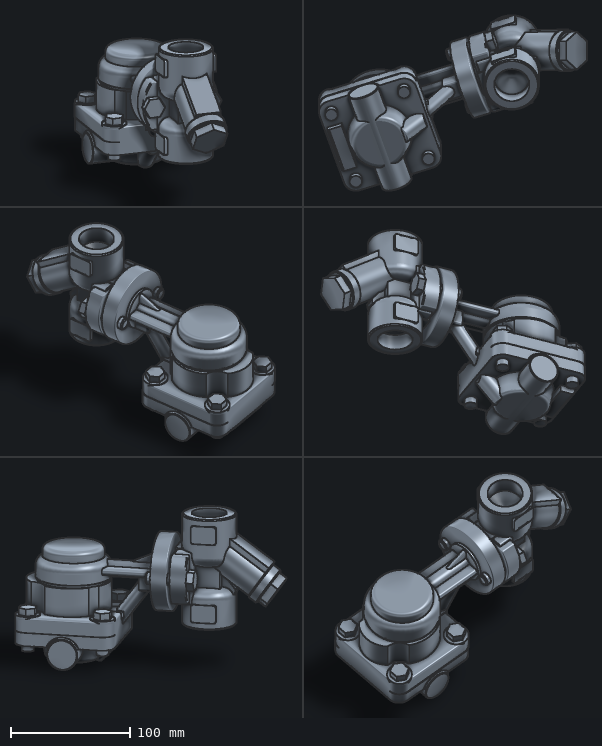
import cadquery as cq
import math


overall_length = 226.1
weld_overlap = 2.3

flange_side = 85.5
flange_height = 25.3
parting_height = 11.5
edge_round = 2.3
bolt_offset = 32.0
bolt_spots = [(x, y) for x in (-bolt_offset, bolt_offset) for y in (-bolt_offset, bolt_offset)]
corner_pad_dia = 21.0
corner_radius = flange_side / 2 - bolt_offset
flange_top = flange_height - 0.5
lower_offset_y = 0.5

cover_bolt_corners = 16.0
cover_bolt_head_height = 6.0
cover_bolt_dia = 10.5
cover_bolt_drop = 6.0

body_radius = 33.5
body_offset_x = -1.4
body_top = 49.5
lobe_radius = 25.0
lobe_tip_x = -40.0
bolt_clearance_dia = 28.5

dome_radius = 32.0
dome_root_radius = 31.0
dome_root_z = body_top + 2.3
dome_shoulder_z = 61.3
dome_bulge_radius = 30.0
dome_bulge_z = 67.0
cap_radius = 26.2
cap_base_z = 69.6
cap_top_z = 79.1
cap_round = 4.3

pan_top_radius = 27.1
pan_bottom_radius = 23.5
pan_bottom_z = -18.3
pan_round = 4.5
port_dia = 26.2
port_length = 89.0
port_z = -5.5
port_chamfer = 0.57
port_collar_dia = 29.8
port_collar_reach = 1.5
port_collar_chamfer = 1.4
block_tip_x = lobe_tip_x
block_inner_x = -27.1
block_width = 39.8
block_drop = 6.0
block_chamfer = 1.8

drain_dia = 16.0
drain_angle = 46.0
drain_end_x = 17.9
drain_end_z = -15.2
drain_length = 27.1
drain_round = 1.1

axis_z = 60.8
disc_face_x = 73.0
arm_dia = 14.5
rail_width = 32.0
rail_thickness = 6.0
rail_round = 2.7
hub_dia = 35.0
hub_face_x = 70.5
gusset_width = 4.0
gusset_round = 1.5
gusset_start_x = 51.0
gusset_top_z = axis_z + 16.7
elbow_start_x = 57.2
elbow_bottom_z = 43.9
elbow_width = 16.0
elbow_round = 2.3
return_dia = 12.0
return_angle = 53.4
return_start_x = 62.2
return_start_z = 49.0
return_length = 45.2
return_pad_x = 44.5
return_pad_bottom_z = 19.2
return_pad_round = 1.4

disc_dia = 67.0
disc_thickness = 14.0
disc_round = 1.0
joint_end_x = 89.8
valve_flange_thickness = 14.2
valve_flange_height = 42.0
valve_flange_round = 2.7
joint_bolt_offset = 25.3
joint_bolt_dia = 10.5
joint_bolt_flats = 16.0
joint_bolt_head_height = 6.3
joint_bolt_tip_x = 68.3
joint_bolt_chamfer = 1.1

valve_x = 116.7
barrel_dia = 46.0
barrel_top_z = 113.7
barrel_bottom_z = 17.6
barrel_gap = 19.0
barrel_shoulder = 9.5
barrel_chamfer = 1.1
bore_dia = 29.5
bore_depth = 14.5
bore_tip_angle = 118.0
waist_end_x = 128.5
waist_depth = 22.5
neck_height = 46.0
neck_width = 41.5
neck_start_x = joint_end_x + 2.3
neck_end_x = 107.5
neck_round = 2.0
pad_width = 21.3
pad_height = 15.5
pad_inset = 6.0
pad_face_y = 23.3
pad_round = 2.0
pad_thickness = 4.5

branch_angle = 35.2
branch_face_z = 48.0
branch_dia = 32.3
branch_length = 62.2
branch_cap_corners = 31.9
branch_tip_x = overall_length - flange_side / 2
branch_face_x = branch_tip_x - branch_cap_corners / 2 * math.sin(math.radians(branch_angle))
branch_cap_height = 7.7
collar_dia = 34.4
collar_length = 9.0
collar_chamfer = 1.0
rib_width = 22.2
rib_height = 17.2
rib_length = 54.3
web_width = 10.0
web_reach = 0.7
web_corner_drop = 11.3
web_foot_drop = 15.8


def cylinder_x(dia, x_start, x_end, y=0.0):
    """Cylinder along X at the height of the flange axis."""
    plane = cq.Workplane("YZ", origin=(x_start, y, axis_z))
    return plane.circle(dia / 2).extrude(x_end - x_start)


def block(x_range, width, z_range, y=0.0):
    """Rectangular block centred on y across its width."""
    length = x_range[1] - x_range[0]
    height = z_range[1] - z_range[0]
    base = cq.Workplane("XY", origin=((x_range[0] + x_range[1]) / 2, y, z_range[0]))
    return base.rect(length, width).extrude(height)


def inclined_plane(x, z, slope):
    """Work plane centred in the XZ mid-plane; its normal points to -X and climbs at the given slope."""
    rad = math.radians(slope)
    normal = (-math.cos(rad), 0, math.sin(rad))
    return cq.Workplane(cq.Plane(origin=(x, 0, z), xDir=(0, 1, 0), normal=normal))


def square_flange():
    lower = block((-flange_side / 2, flange_side / 2), flange_side, (0, parting_height), lower_offset_y)
    lower = lower.edges("|Z").fillet(corner_radius)
    upper = block((-flange_side / 2, flange_side / 2), flange_side, (parting_height, flange_top))
    upper = upper.edges("|Z").fillet(corner_radius).faces(">Z").edges().fillet(edge_round)
    return lower.union(upper)


def cover_bolts():
    pads = cq.Workplane("XY", origin=(0, 0, parting_height)).pushPoints(bolt_spots)
    pads = pads.circle(corner_pad_dia / 2).extrude(flange_height - parting_height)
    head = cq.Workplane("XY").polygon(6, cover_bolt_corners).extrude(cover_bolt_head_height)
    head = head.rotate((0, 0, 0), (0, 0, 1), 30)
    shank_length = cover_bolt_drop + flange_height
    shank = cq.Workplane("XY").circle(cover_bolt_dia / 2).extrude(-shank_length)
    bolt = head.union(shank)
    for x, y in bolt_spots:
        pads = pads.union(bolt.translate((x, y, flange_height)))
    return pads


def trap_body():
    body = cq.Workplane("XY").center(body_offset_x, 0).circle(body_radius).extrude(body_top)
    lobe = cq.Workplane("XY").center(lobe_tip_x + lobe_radius, 0).circle(lobe_radius).extrude(body_top)
    grooves = cq.Workplane("XY", origin=(0, 0, flange_top)).pushPoints(bolt_spots)
    grooves = grooves.circle(bolt_clearance_dia / 2).extrude(body_top - flange_top)
    body = body.union(lobe).cut(grooves)
    dome = (
        cq.Workplane("XZ")
        .lineTo(dome_root_radius, 0)
        .lineTo(dome_root_radius, dome_root_z)
        .lineTo(dome_radius, dome_root_z)
        .lineTo(dome_radius, dome_shoulder_z)
        .threePointArc((dome_bulge_radius, dome_bulge_z), (cap_radius, cap_base_z))
        .lineTo(cap_radius, cap_top_z)
        .lineTo(0, cap_top_z)
        .close()
        .revolve(360, (0, 0), (0, 1))
    )
    return body.union(dome.faces(">Z").edges().fillet(cap_round))


def lower_body():
    pan = (
        cq.Workplane("XZ")
        .moveTo(0, parting_height / 2)
        .lineTo(pan_top_radius, parting_height / 2)
        .lineTo(pan_top_radius, 0)
        .lineTo(pan_bottom_radius, pan_bottom_z)
        .lineTo(0, pan_bottom_z)
        .close()
        .revolve(360, (0, 0), (0, 1))
    )
    pan = pan.faces("<Z").edges().fillet(pan_round)
    ports = cq.Workplane("XZ", origin=(0, port_length / 2 + lower_offset_y, port_z))
    ports = ports.circle(port_dia / 2).extrude(port_length).faces("<Y or >Y").chamfer(port_chamfer)
    collar_length_y = flange_side + 2 * port_collar_reach
    collars = cq.Workplane("XZ", origin=(0, collar_length_y / 2 + lower_offset_y, port_z))
    collars = collars.circle(port_collar_dia / 2).extrude(collar_length_y)
    collars = collars.faces("<Y or >Y").chamfer(port_collar_chamfer)
    flange_band = block((-port_collar_dia, port_collar_dia), 2 * flange_side, (0, parting_height))
    collars = collars.intersect(flange_band)
    end_block = block((block_tip_x, block_inner_x), block_width, (-block_drop, parting_height / 2))
    end_block = end_block.faces("<X").edges("<Z").chamfer(block_chamfer)
    rad = math.radians(drain_angle)
    top = (drain_end_x + drain_length * math.cos(rad), drain_end_z + drain_length * math.sin(rad))
    drain = inclined_plane(top[0], top[1], -drain_angle).circle(drain_dia / 2).extrude(drain_length)
    drain = drain.edges("<Z").fillet(drain_round)
    room = block((block_tip_x, -block_tip_x), flange_side, (2 * pan_bottom_z, parting_height))
    return pan.union(ports).union(collars).union(end_block).union(drain.intersect(room))


def arm():
    pipe = cylinder_x(arm_dia, 0, disc_face_x)
    rails = block((0, disc_face_x), rail_width, (axis_z - rail_thickness / 2, axis_z + rail_thickness / 2))
    rails = rails.edges("|X").fillet(rail_round)
    hub = cylinder_x(hub_dia, hub_face_x, disc_face_x + weld_overlap)
    gusset = (
        cq.Workplane("XZ", origin=(0, gusset_width / 2, 0))
        .moveTo(gusset_start_x, axis_z + arm_dia / 2)
        .lineTo(disc_face_x, gusset_top_z)
        .lineTo(disc_face_x, axis_z)
        .lineTo(gusset_start_x, axis_z)
        .close()
        .extrude(gusset_width)
    )
    gusset = gusset.edges("(not |X) and (not |Y) and (not |Z)").fillet(gusset_round)
    elbow = block((elbow_start_x, disc_face_x), elbow_width, (elbow_bottom_z, axis_z))
    elbow = elbow.edges("<X or <Z").fillet(elbow_round)
    return_pipe = inclined_plane(return_start_x, return_start_z, -return_angle)
    return_pipe = return_pipe.circle(return_dia / 2).extrude(return_length)
    return_pad = block((0, return_pad_x), elbow_width, (return_pad_bottom_z, flange_height))
    return_pad = return_pad.faces(">X").edges().fillet(return_pad_round)
    return_pipe = return_pipe.union(return_pad)
    return pipe.union(rails).union(hub).union(gusset).union(elbow).union(return_pipe)


def flange_pair():
    disc_end_x = disc_face_x + disc_thickness
    disc = cylinder_x(disc_dia, disc_face_x, disc_end_x).edges().fillet(disc_round)
    joint = cylinder_x(hub_dia, disc_end_x - weld_overlap, joint_end_x + weld_overlap)
    valve_flange_end_x = joint_end_x + valve_flange_thickness
    valve_flange = cylinder_x(disc_dia, joint_end_x, valve_flange_end_x)
    half_height = valve_flange_height / 2
    trim = block((joint_end_x, valve_flange_end_x), disc_dia, (axis_z - half_height, axis_z + half_height))
    valve_flange = valve_flange.intersect(trim).edges("|X").fillet(valve_flange_round)
    valve_flange = valve_flange.faces("<X or >X").edges().fillet(disc_round)
    pair = disc.union(joint).union(valve_flange)
    head_corners = joint_bolt_flats / math.cos(math.pi / 6)
    for y in (-joint_bolt_offset, joint_bolt_offset):
        shank = cylinder_x(joint_bolt_dia, joint_bolt_tip_x, valve_flange_end_x, y)
        shank = shank.faces("<X").chamfer(joint_bolt_chamfer)
        head = cq.Workplane("YZ", origin=(valve_flange_end_x, y, axis_z))
        head = head.polygon(6, head_corners).extrude(joint_bolt_head_height)
        pair = pair.union(shank).union(head)
    return pair


def barrel(end_z, inner_z):
    """Barrel with a chamfered open end at end_z and a rounded shoulder at inner_z."""
    solid = cq.Workplane("XY", origin=(valve_x, 0, end_z)).circle(barrel_dia / 2).extrude(inner_z - end_z)
    outward = ">Z" if end_z > inner_z else "<Z"
    inward = "<Z" if end_z > inner_z else ">Z"
    solid = solid.faces(outward).chamfer(barrel_chamfer)
    return solid.faces(inward).edges().fillet(barrel_shoulder)


def socket(end_z, inward):
    """Blind socket with a conical floor, cut from end_z in the direction inward (+1 or -1)."""
    tip_depth = bore_depth + bore_dia / 2 / math.tan(math.radians(bore_tip_angle / 2))
    return (
        cq.Workplane("XZ", origin=(valve_x, 0, end_z))
        .lineTo(bore_dia / 2, 0)
        .lineTo(bore_dia / 2, inward * bore_depth)
        .lineTo(0, inward * tip_depth)
        .close()
        .revolve(360, (0, 0), (0, 1))
    )


def flat_pads(low_z):
    """Pair of flat pads on the +-Y sides of a barrel."""
    pads = cq.Workplane("XY")
    for y in (-1, 1):
        pad = block(
            (valve_x - pad_width / 2, valve_x + pad_width / 2),
            pad_thickness,
            (low_z, low_z + pad_height),
            y * (pad_face_y - pad_thickness / 2),
        )
        pads = pads.add(pad.edges("|Y").fillet(pad_round))
    return pads.combine()


def branch():
    outer = inclined_plane(branch_face_x, branch_face_z, branch_angle)
    cap = outer.transformed(rotate=(0, 0, 90)).polygon(6, branch_cap_corners).extrude(branch_cap_height)
    collar = outer.workplane(offset=branch_cap_height).circle(collar_dia / 2).extrude(collar_length)
    collar = collar.edges().chamfer(collar_chamfer)
    tube = outer.workplane(offset=branch_cap_height).circle(branch_dia / 2)
    tube = tube.extrude(branch_length - branch_cap_height)
    rib = outer.workplane(offset=branch_cap_height + collar_length)
    rib = rib.center(0, -rib_height / 2).rect(rib_width, rib_height).extrude(rib_length - collar_length)
    web = (
        cq.Workplane("XZ", origin=(0, web_width / 2, 0))
        .moveTo(valve_x, axis_z + barrel_gap)
        .lineTo(valve_x + barrel_dia / 2 + web_reach, axis_z - web_corner_drop)
        .lineTo(valve_x + barrel_dia / 2, axis_z - web_foot_drop)
        .lineTo(valve_x, axis_z - web_foot_drop)
        .close()
        .extrude(web_width)
    )
    return cap.union(collar).union(tube).union(rib).union(web)


def valve_body():
    half_gap = barrel_gap / 2
    body = barrel(barrel_top_z, axis_z + half_gap).union(barrel(barrel_bottom_z, axis_z - half_gap))
    waist_reach = barrel_gap + barrel_shoulder / 2
    waist_range = (axis_z - waist_reach, axis_z + waist_reach)
    body = body.union(block((joint_end_x, waist_end_x), waist_depth, waist_range))
    neck = block((neck_start_x, neck_end_x), neck_width, (axis_z - neck_height / 2, axis_z + neck_height / 2))
    body = body.union(neck.edges("not <X").fillet(neck_round))
    body = body.union(branch())
    body = body.union(flat_pads(barrel_top_z - pad_inset - pad_height))
    body = body.union(flat_pads(barrel_bottom_z + pad_inset))
    return body.cut(socket(barrel_top_z, -1)).cut(socket(barrel_bottom_z, 1))


result = (
    square_flange()
    .union(cover_bolts())
    .union(trap_body())
    .union(lower_body())
    .union(arm())
    .union(flange_pair())
    .union(valve_body())
)